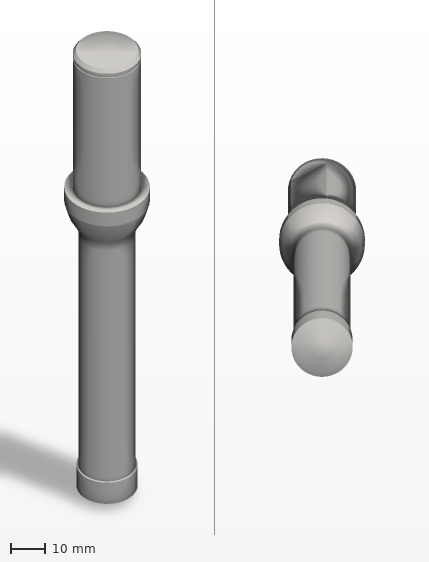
import cadquery as cq

total_length = 162.0

shank_diameter = 20.0
shank_length = 50.0
end_chamfer_width = 1.0
end_chamfer_height = 1.1

ring_groove_offset = 1.8
ring_groove_width = 1.0
ring_groove_depth = 0.25

flat_depth = 2.0
flat_top_offset = 3.4
flat_opening_length = 43.1

collar_diameter = 25.0
collar_height = 5.0
taper_height = 8.5
taper_end_diameter = 18.1
taper_bulge_drop = 3.5
taper_bulge_diameter = 23.2
neck_height = 3.7
neck_waist_diameter = 16.8

body_diameter = 16.5
tip_diameter = 17.8
tip_cylinder_height = 7.8
point_height = 2.6

shank_radius = shank_diameter / 2
collar_radius = collar_diameter / 2
body_radius = body_diameter / 2
tip_radius = tip_diameter / 2

collar_top = total_length - shank_length
collar_bottom = collar_top - collar_height
taper_bottom = collar_bottom - taper_height
neck_bottom = taper_bottom - neck_height
tip_top = point_height + tip_cylinder_height


def make_holder():
    """Revolved body, neck, collar and shank, before the ring groove and flat are cut."""
    profile = (
        cq.Workplane("XZ")
        .moveTo(0, tip_top)
        .lineTo(body_radius, tip_top)
        .lineTo(body_radius, neck_bottom)
        .threePointArc(
            (neck_waist_diameter / 2, taper_bottom - neck_height / 2),
            (taper_end_diameter / 2, taper_bottom),
        )
        .threePointArc(
            (taper_bulge_diameter / 2, collar_bottom - taper_bulge_drop),
            (collar_radius, collar_bottom),
        )
        .lineTo(collar_radius, collar_top)
        .lineTo(shank_radius, collar_top)
        .lineTo(shank_radius, total_length - end_chamfer_height)
        .lineTo(shank_radius - end_chamfer_width, total_length)
        .lineTo(0, total_length)
        .close()
    )
    return profile.revolve(360, (0, 0, 0), (0, 1, 0))


def make_ring_groove_cutter():
    """Ring that cuts the shallow groove around the shank."""
    return (
        cq.Workplane("XY")
        .workplane(offset=total_length - ring_groove_offset - ring_groove_width)
        .circle(collar_radius)
        .circle(shank_radius - ring_groove_depth)
        .extrude(ring_groove_width)
    )


def make_flat_cutter():
    """Trapezoidal prism that cuts the clamping flat across the shank."""
    opening_top = total_length - flat_top_offset
    opening_bottom = opening_top - flat_opening_length
    floor_y = shank_radius - flat_depth
    return (
        cq.Workplane("YZ")
        .moveTo(shank_radius, opening_top)
        .lineTo(floor_y, opening_top - flat_depth)
        .lineTo(floor_y, opening_bottom + flat_depth)
        .lineTo(shank_radius, opening_bottom)
        .close()
        .extrude(shank_radius, both=True)
    )


def make_tip():
    """Short cylinder with a conical drill point."""
    profile = (
        cq.Workplane("XZ")
        .lineTo(tip_radius, point_height)
        .lineTo(tip_radius, tip_top)
        .lineTo(0, tip_top)
        .close()
    )
    return profile.revolve(360, (0, 0, 0), (0, 1, 0))


holder = make_holder().cut(make_ring_groove_cutter()).cut(make_flat_cutter())
tip = make_tip()

result = cq.Compound.makeCompound([holder.val(), tip.val()])